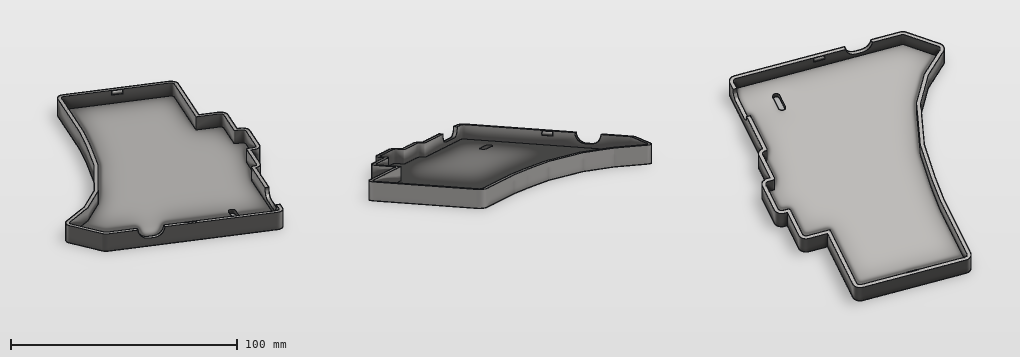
import cadquery as cq
import math

length = 139.9
width = 104.1
height = 8.5
wall = 1.8
floor = 2.1
corner_radius = 3.5
inner_corner_radius = corner_radius - wall

left_back_y = 86.9
key_step_x = 36.0
middle_back_y = 99.2
bump_left_x = 54.0
bump_right_x = 76.4
right_step_x = 94.1
right_back_y = 96.2
bump_ridge_radius = 1.0
step_ridge_radius = 1.1

sweep_points = [(37.9, 31.5), (52.2, 30.5), (72.0, 28.3), (87.0, 23.9), (96.2, 21.3), (111.0, 12.3)]
front_y = sweep_points[0][1]
tip_corner_y = -corner_radius * (math.sqrt(2) - 1)
tip_corner_x = sweep_points[-1][0] + sweep_points[-1][1] - tip_corner_y
right_front_y = tip_corner_y + length - tip_corner_x

slot_x = 124.0
slot_y = 77.6
slot_length = 10.5
slot_width = 3.2

back_notch_x = 123.5
back_notch_width = 17.6
back_notch_depth = 4.3
back_notch_radius = 3.8
side_notch_y = 35.0
side_notch_width = 12.3
side_notch_depth = 4.6
side_notch_radius = 4.9

snap_length = 5.0
snap_radius = 1.0
snap_drop = 1.3
left_snap_y = 59.2
right_snap_y = 53.9


def sharp_outline():
    """Outer outline before its corners are rounded, counter-clockwise."""
    back_points = [
        (length, right_back_y),
        (right_step_x, right_back_y),
        (right_step_x, middle_back_y),
        (bump_right_x, middle_back_y),
        (bump_right_x, width),
        (bump_left_x, width),
        (bump_left_x, middle_back_y),
        (key_step_x, middle_back_y),
        (key_step_x, left_back_y),
        (0, left_back_y),
    ]
    tip_points = [(tip_corner_x, tip_corner_y), (length, right_front_y)]
    points = [(0, front_y)] + sweep_points + tip_points + back_points
    return cq.Workplane("XY").polyline(points).close()


def core_outline():
    """Outline inset by the corner radius; offsetting it rounds only the outward corners."""
    return sharp_outline().offset2D(-corner_radius, "intersection")


def near(x, y):
    """Selector for the upright edge closest to a plan position."""
    return cq.selectors.NearestToPointSelector((x, y, (floor + height) / 2))


def make_cavity():
    cavity = core_outline().offset2D(inner_corner_radius).extrude(height - floor)
    cavity = cavity.translate((0, 0, floor))
    ridges = [
        (bump_left_x + wall, middle_back_y - wall, bump_ridge_radius),
        (bump_right_x - wall, middle_back_y - wall, bump_ridge_radius),
        (right_step_x - wall, right_back_y - wall, step_ridge_radius),
    ]
    for x, y, radius in ridges:
        cavity = cavity.edges("|Z").edges(near(x, y)).fillet(radius)
    return cavity


def make_notch(notch_width, depth, radius):
    """Rim opening centred on the origin, cutting along Y; it runs on above the rim."""
    notch = cq.Workplane("XY").box(notch_width, 3 * wall, height, centered=(True, True, False))
    notch = notch.edges("|Y and <Z").fillet(radius)
    return notch.translate((0, 0, height - depth))


def make_snap(x, y):
    """Snap ridge along Y, centred at y, whose axis lies in the wall's inner face."""
    snap = cq.Workplane("XZ").circle(snap_radius).extrude(snap_length)
    return snap.translate((x, y + snap_length / 2, height - snap_drop))


tray = core_outline().offset2D(corner_radius).extrude(height).cut(make_cavity())

slot = cq.Workplane("XY").center(slot_x, slot_y).slot2D(slot_length, slot_width).extrude(floor)
tray = tray.cut(slot)

back_notch = make_notch(back_notch_width, back_notch_depth, back_notch_radius)
tray = tray.cut(back_notch.translate((back_notch_x, right_back_y - wall / 2, 0)))

side_notch = make_notch(side_notch_width, side_notch_depth, side_notch_radius)
side_notch = side_notch.rotate((0, 0, 0), (0, 0, 1), 90)
tray = tray.cut(side_notch.translate((length - wall / 2, side_notch_y, 0)))

tray = tray.union(make_snap(wall, left_snap_y))
result = tray.union(make_snap(length - wall, right_snap_y))